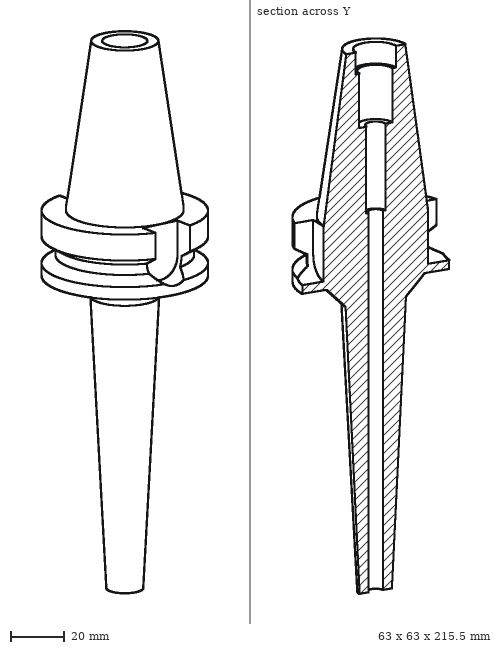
import cadquery as cq
import math

total_height = 215.5
taper_height = 65.5
gauge_z = total_height - taper_height

shank_top_diameter = 25.5
gauge_diameter = 44.4

flange_diameter = 63.0
flange_top_z = gauge_z - 1.3
flange_bottom_z = gauge_z - 27.0
lower_rim_height = 5.0
groove_floor_diameter = 52.3
groove_floor_width = 4.0
groove_flank_angle = 31.0

neck_height = 8.0
neck_diameter = 26.0
tip_diameter = 14.0

slot_width = 16.2
slot_depth = 22.0
slot_floor_x = 22.5

counterbore_diameter = 17.0
counterbore_depth = 8.6
thread_diameter = 14.0
thread_depth = 30.2
coolant_diameter = 8.0
coolant_depth = 64.6
through_diameter = 6.0


def make_body():
    """Revolve the outer profile of the holder about Z."""
    flange_radius = flange_diameter / 2
    floor_radius = groove_floor_diameter / 2
    flank_height = (flange_radius - floor_radius) * math.tan(math.radians(groove_flank_angle))
    lower_rim_z = flange_bottom_z + lower_rim_height
    floor_bottom_z = lower_rim_z + flank_height
    floor_top_z = floor_bottom_z + groove_floor_width
    upper_rim_z = floor_top_z + flank_height
    neck_z = flange_bottom_z - neck_height
    profile = [
        (0, 0),
        (tip_diameter / 2, 0),
        (neck_diameter / 2, neck_z),
        (neck_diameter / 2 + neck_height, flange_bottom_z),
        (flange_radius, flange_bottom_z),
        (flange_radius, lower_rim_z),
        (floor_radius, floor_bottom_z),
        (floor_radius, floor_top_z),
        (flange_radius, upper_rim_z),
        (flange_radius, flange_top_z),
        (gauge_diameter / 2, flange_top_z),
        (gauge_diameter / 2, gauge_z),
        (shank_top_diameter / 2, total_height),
        (0, total_height),
    ]
    return cq.Workplane("XZ").polyline(profile).close().revolve(360, (0, 0), (0, 1))


def make_drive_slot(side):
    """Round-bottomed slot, open at the flange top and rim; side is +1 or -1."""
    radius = slot_width / 2
    bottom_z = flange_top_z - slot_depth
    return (
        cq.Workplane("YZ", origin=(side * slot_floor_x, 0, 0))
        .moveTo(-radius, flange_top_z)
        .lineTo(-radius, bottom_z + radius)
        .threePointArc((0, bottom_z), (radius, bottom_z + radius))
        .lineTo(radius, flange_top_z)
        .close()
        .extrude(side * flange_diameter / 2)
    )


def make_bore(diameter, depth):
    """Cylinder that reaches the given depth below the shank top."""
    return (
        cq.Workplane("XY", origin=(0, 0, total_height - depth))
        .circle(diameter / 2)
        .extrude(depth)
    )


result = make_body()

for side in (-1, 1):
    result = result.cut(make_drive_slot(side))

bore_steps = [
    (counterbore_diameter, counterbore_depth),
    (thread_diameter, thread_depth),
    (coolant_diameter, coolant_depth),
    (through_diameter, total_height),
]
for diameter, depth in bore_steps:
    result = result.cut(make_bore(diameter, depth))